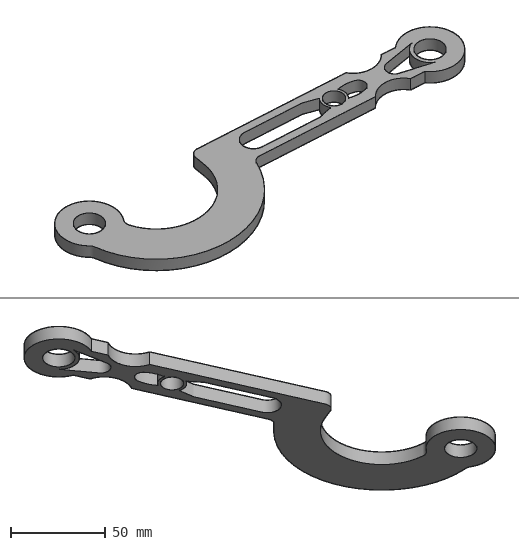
import cadquery as cq
import math

thickness = 8.0

stem_width = 25.0
hook_inner_radius = 32.5
hook_outer_radius = 57.5
corner_radius = 5.0
blend_radius = 5.0

eye_radius = 18.5
eye_hole_radius = 8.5
eye_spacing = 230.0
lower_eye_y = -45.0
upper_eye_y = lower_eye_y + eye_spacing

waist_y = 150.0
waist_width = 13.3
waist_cut_radius = 15.0

window_rim_radius = 11.0
window_tip_radius = 5.3
window_tip_y = 161.0
window_half_angle = 13.0

pivot_y = 120.0
pivot_hole_radius = 6.1
pivot_rim_radius = 7.7
upper_slot_width = 10.7
upper_slot_top = 141.2
upper_slot_end_width = 9.0
upper_slot_shoulder_y = 137.8
lower_slot_width = 15.0
lower_slot_bottom = 58.2
lower_slot_shoulder_y = 104.6
lower_slot_neck_width = 9.5


def disc(radius, x, y):
    return cq.Workplane("XY").center(x, y).circle(radius).extrude(thickness)


def make_stem():
    length = upper_eye_y - hook_inner_radius
    stem = (
        cq.Workplane("XY")
        .center(0, hook_inner_radius + length / 2)
        .rect(stem_width, length)
        .extrude(thickness)
    )
    return stem.edges("|Z and <X and <Y").fillet(corner_radius)


def make_hook():
    """Half ring on the +X side."""
    return (
        cq.Workplane("XY")
        .moveTo(0, hook_outer_radius)
        .threePointArc((hook_outer_radius, 0), (0, -hook_outer_radius))
        .lineTo(0, -hook_inner_radius)
        .threePointArc((hook_inner_radius, 0), (0, hook_inner_radius))
        .close()
        .extrude(thickness)
    )


def eye_joint(hook_radius):
    """Point on the +X side where a hook arc meets the lower eye."""
    y = (hook_radius**2 - eye_radius**2 + lower_eye_y**2) / (2 * lower_eye_y)
    return math.sqrt(hook_radius**2 - y**2), y


def make_body():
    body = make_stem().union(make_hook()).cut(disc(hook_inner_radius, 0, 0))
    body = body.union(disc(eye_radius, 0, lower_eye_y))

    stem_joint_x = stem_width / 2
    stem_joint_y = math.sqrt(hook_outer_radius**2 - stem_joint_x**2)
    joints = [
        (stem_joint_x, stem_joint_y),
        eye_joint(hook_outer_radius),
        eye_joint(hook_inner_radius),
    ]
    for x, y in joints:
        joint = cq.selectors.NearestToPointSelector((x, y, thickness / 2))
        body = body.edges("|Z").edges(joint).fillet(blend_radius)

    body = body.union(disc(eye_radius, 0, upper_eye_y))
    waist_cut_x = waist_width / 2 + waist_cut_radius
    for side in (-1, 1):
        body = body.cut(disc(waist_cut_radius, side * waist_cut_x, waist_y))
    return body


def make_window():
    """Wedge with a round tip, stopped by the rim of the upper eye hole."""
    angle = math.radians(window_half_angle)
    tangent_x = window_tip_radius * math.cos(angle)
    tangent_y = window_tip_y - window_tip_radius * math.sin(angle)
    top_x = tangent_x + (upper_eye_y - tangent_y) * math.tan(angle)
    offset = top_x * math.cos(angle)
    along = top_x * math.sin(angle) + math.sqrt(window_rim_radius**2 - offset**2)
    end_x = top_x - along * math.sin(angle)
    end_y = upper_eye_y - along * math.cos(angle)
    wedge = (
        cq.Workplane("XY")
        .moveTo(end_x, end_y)
        .lineTo(tangent_x, tangent_y)
        .threePointArc((0, window_tip_y - window_tip_radius), (-tangent_x, tangent_y))
        .lineTo(-end_x, end_y)
        .close()
        .extrude(thickness)
    )
    return wedge.cut(disc(window_rim_radius, 0, upper_eye_y))


def make_slots():
    """Slots above and below the small hole, both stopped by its rim."""
    upper_half = upper_slot_width / 2
    end_half = upper_slot_end_width / 2
    end_y = pivot_y + math.sqrt(pivot_rim_radius**2 - end_half**2)
    bulge_y = (end_y + upper_slot_shoulder_y) / 2
    lower_half = lower_slot_width / 2
    neck_half = lower_slot_neck_width / 2
    neck_y = pivot_y - math.sqrt(pivot_rim_radius**2 - neck_half**2)
    slots = (
        cq.Workplane("XY")
        .moveTo(end_half, end_y)
        .threePointArc((upper_half, bulge_y), (end_half, upper_slot_shoulder_y))
        .threePointArc((0, upper_slot_top), (-end_half, upper_slot_shoulder_y))
        .threePointArc((-upper_half, bulge_y), (-end_half, end_y))
        .lineTo(-neck_half, neck_y)
        .lineTo(-lower_half, lower_slot_shoulder_y)
        .lineTo(-lower_half, lower_slot_bottom + lower_half)
        .threePointArc((0, lower_slot_bottom), (lower_half, lower_slot_bottom + lower_half))
        .lineTo(lower_half, lower_slot_shoulder_y)
        .lineTo(neck_half, neck_y)
        .close()
        .extrude(thickness)
    )
    return slots.cut(disc(pivot_rim_radius, 0, pivot_y))


result = make_body().cut(make_window()).cut(make_slots())
for hole_radius, hole_y in (
    (eye_hole_radius, lower_eye_y),
    (eye_hole_radius, upper_eye_y),
    (pivot_hole_radius, pivot_y),
):
    result = result.cut(disc(hole_radius, 0, hole_y))